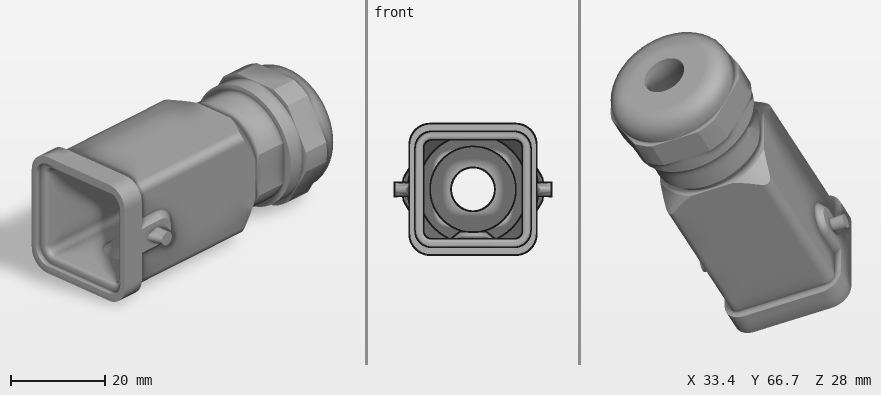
import cadquery as cq
import math

rim_width = 27.15
rim_height = 28.0
rim_length = 5.35
rim_corner_radius = 4.55
seal_recess_size = 24.7
seal_recess_depth = 1.3
seal_recess_corner_radius = 3.6

housing_size = 24.3
housing_end = 42.0
housing_corner_radius = 2.0
housing_cone_radius = 13.1
cavity_size = 21.0
cavity_corner_radius = 1.75
cavity_mouth_radius = 0.8
cavity_cone_radius = 11.7
cone_slope = 0.9

collar_diameter = 23.0
collar_end = 43.0
neck_diameter = 25.15
neck_chamfer_end = 43.8
neck_across_flats = 23.15

nut_start = 51.15
nut_end = 66.7
nut_diameter = 27.8
hex_start = 54.9
hex_end = 61.15
hex_across_flats = 28.0
hex_corner_diameter = 30.0
nut_dome_radius = 4.0

gland_bore_diameter = 18.3
cable_hole_diameter = 9.3

lug_centre_y = 11.5
lug_base_radius = 4.35
lug_slope_angle = 45.0
pin_y = 9.8
pin_diameter = 3.1
pin_span = 33.4
gusset_radius = 0.95
gusset_root_y = 7.55
gusset_tip_y = 9.1

boss_y = 14.4
boss_base_diameter = 9.35
boss_top_diameter = 5.75
boss_height = 1.5

selection_margin = 0.1

housing_half = housing_size / 2
wall = (housing_size - cavity_size) / 2
cavity_end = housing_end - wall


def y_plane(y):
    """Plane at the given Y with local X along X and local Y along Z."""
    return cq.Workplane("XZ", origin=(0, y, 0))


def rounded_bar(width, height, corner_radius, y_start, y_end):
    """Rectangular bar along Y with its long edges rounded."""
    bar = y_plane(y_start).rect(width, height).extrude(y_start - y_end)
    return bar.edges("|Y").fillet(corner_radius)


def cylinder(diameter, y_start, y_end):
    return y_plane(y_start).circle(diameter / 2).extrude(y_start - y_end)


def corner_cone(end_radius, y_end):
    """Solid cone that is end_radius wide at y_end and widens down to Y = 0."""
    mouth_radius = end_radius + cone_slope * y_end
    outline = [(0, 0), (mouth_radius, 0), (end_radius, y_end), (0, y_end)]
    return cq.Workplane("XY").polyline(outline).close().revolve(360, (0, 0, 0), (0, 1, 0))


def housing():
    body = rounded_bar(housing_size, housing_size, housing_corner_radius, 0, housing_end)
    body = body.intersect(corner_cone(housing_cone_radius, housing_end))
    rim = rounded_bar(rim_width, rim_height, rim_corner_radius, 0, rim_length)
    return body.union(rim)


def hollow(body):
    """Cut the chamber and the seal recess, then round the edge between them."""
    chamber = rounded_bar(cavity_size, cavity_size, cavity_corner_radius, 0, cavity_end)
    chamber = chamber.intersect(corner_cone(cavity_cone_radius, cavity_end))
    recess = rounded_bar(
        seal_recess_size, seal_recess_size, seal_recess_corner_radius, 0, seal_recess_depth
    )
    body = body.cut(chamber).cut(recess)
    reach = cavity_size / 2 + selection_margin
    chamber_mouth = cq.selectors.BoxSelector(
        (-reach, seal_recess_depth - selection_margin, -reach),
        (reach, seal_recess_depth + selection_margin, reach),
    )
    return body.edges(chamber_mouth).fillet(cavity_mouth_radius)


def gland_neck():
    collar = cylinder(collar_diameter, housing_end, collar_end)
    neck_radius = neck_diameter / 2
    outline = [
        (0, collar_end),
        (collar_diameter / 2, collar_end),
        (neck_radius, neck_chamfer_end),
        (neck_radius, nut_start),
        (0, nut_start),
    ]
    neck = cq.Workplane("XY").polyline(outline).close().revolve(360, (0, 0, 0), (0, 1, 0))
    flats = y_plane(collar_end).rect(neck_across_flats, neck_diameter).extrude(collar_end - nut_start)
    return collar.union(neck.intersect(flats))


def gland_nut():
    sleeve = cylinder(nut_diameter, nut_start, nut_end).faces(">Y").edges().fillet(nut_dome_radius)
    across_corners = hex_across_flats / math.cos(math.pi / 6)
    hexagon = y_plane(hex_start).polygon(6, across_corners).extrude(hex_start - hex_end)
    hexagon = hexagon.intersect(cylinder(hex_corner_diameter, hex_start, hex_end))
    return sleeve.union(hexagon)


def lug():
    """U-shaped pad with sloping edges on the +X side, ending inside the rim."""
    height = rim_width / 2 - housing_half
    return (
        cq.Workplane("YZ", origin=(housing_half, 0, 0))
        .moveTo(rim_length / 2, -lug_base_radius)
        .lineTo(lug_centre_y, -lug_base_radius)
        .threePointArc((lug_centre_y + lug_base_radius, 0), (lug_centre_y, lug_base_radius))
        .lineTo(rim_length / 2, lug_base_radius)
        .close()
        .extrude(height, taper=lug_slope_angle)
    )


def teardrop(plane, tip_y):
    """Pin circle and a smaller gusset circle at tip_y, joined by tangent lines."""
    pin_radius = pin_diameter / 2
    sine = (pin_radius - gusset_radius) / (pin_y - tip_y)
    cosine = math.sqrt(1 - sine**2)
    pin_tangent = (pin_y - pin_radius * sine, pin_radius * cosine)
    tip_tangent = (tip_y - gusset_radius * sine, gusset_radius * cosine)
    return (
        plane.moveTo(pin_tangent[0], -pin_tangent[1])
        .threePointArc((pin_y + pin_radius, 0), pin_tangent)
        .lineTo(*tip_tangent)
        .threePointArc((tip_y - gusset_radius, 0), (tip_tangent[0], -tip_tangent[1]))
        .close()
    )


def locking_pin():
    """Round pin on the +X side with a gusset that grows toward the mouth at its root."""
    pin_length = pin_span / 2 - housing_half
    root = teardrop(cq.Workplane("YZ", origin=(housing_half, 0, 0)), gusset_root_y)
    end_plane = root.workplane(offset=pin_length, origin=(housing_half, 0, 0))
    return teardrop(end_plane, gusset_tip_y).loft(ruled=True)


def screw_boss():
    """Tapered boss on the cavity floor, with a foot sunk into the wall."""
    base_radius = boss_base_diameter / 2
    top_radius = boss_top_diameter / 2
    outline = [
        (0, -wall),
        (base_radius, -wall),
        (base_radius, 0),
        (top_radius, boss_height),
        (0, boss_height),
    ]
    boss = cq.Workplane("XZ").polyline(outline).close().revolve(360, (0, 0, 0), (0, 1, 0))
    return boss.translate((0, boss_y, -cavity_size / 2))


hood = hollow(housing())
gland = gland_neck().union(gland_nut())
gland = gland.cut(cylinder(cable_hole_diameter, housing_end, nut_end))
body = hood.union(gland)
body = body.cut(cylinder(gland_bore_diameter, cavity_end, nut_start))
body = body.union(screw_boss())

side_parts = lug().union(locking_pin())
result = body.union(side_parts).union(side_parts.mirror("YZ")).solids()